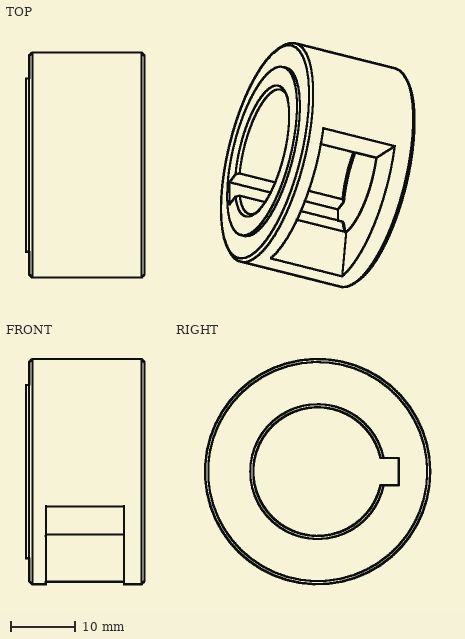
import cadquery as cq
import math

outer_diameter = 35.15
boss_diameter = 27.05
bore_diameter = 20.03
total_length = 18.5
boss_height = 0.5
chamfer = 0.5

key_width = 4.2
key_depth_from_axis = 12.6

window_start = 3.1
window_length = 12.15
window_first_angle = 198.0
window_last_angle = 282.0


def make_ring():
    body = (
        cq.Workplane("YZ")
        .workplane(offset=boss_height)
        .circle(outer_diameter / 2)
        .extrude(total_length - boss_height)
        .edges()
        .chamfer(chamfer)
    )
    boss = cq.Workplane("YZ").circle(boss_diameter / 2).extrude(boss_height)
    bore = cq.Workplane("YZ").circle(bore_diameter / 2).extrude(total_length)
    return body.union(boss).cut(bore)


def chamfer_bore(ring):
    bore_edges = cq.selectors.RadiusNthSelector(0)
    return ring.edges("%CIRCLE").edges(bore_edges).chamfer(chamfer)


def make_keyway():
    return (
        cq.Workplane("YZ")
        .center(key_depth_from_axis / 2, 0)
        .rect(key_depth_from_axis, key_width)
        .extrude(total_length)
    )


def make_window():
    reach = outer_diameter
    corners = [(0, 0)]
    for angle in (window_first_angle, window_last_angle):
        direction = math.radians(angle)
        corners.append((reach * math.cos(direction), reach * math.sin(direction)))
    return (
        cq.Workplane("YZ")
        .workplane(offset=window_start)
        .polyline(corners)
        .close()
        .extrude(window_length)
    )


ring = chamfer_bore(make_ring())
result = ring.cut(make_keyway()).cut(make_window())